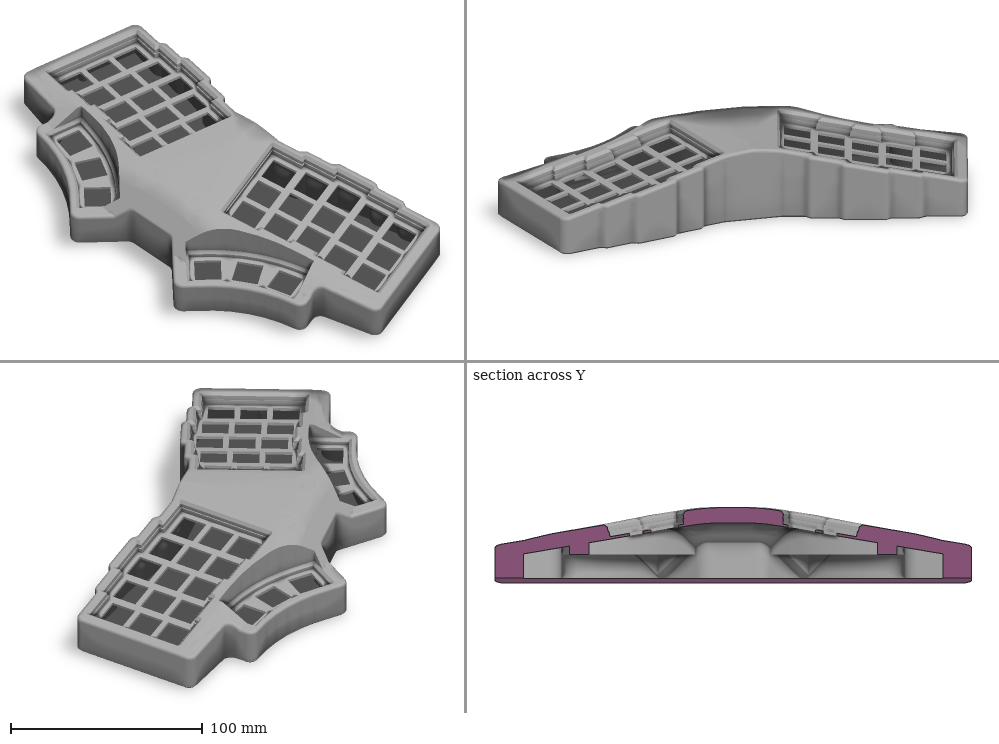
import cadquery as cq
import math

PEAK_Z = 39.5
RIM_Z = 19.8
PLATE_T = 2.5
PLATE_CHAMFER = 1.0

FIELD_ANGLE = 15.0
TILT = 10.0
FIELD_U = -68.5
FIELD_V = 1.3
KEY_HOLE = 14.0
COLUMN_PITCH = 18.0
ROW_PITCH = 17.0
ROWS = 3
STAGGER = 2.5
COLUMN_STEPS = [0, 1, 2, 1, 0]
MIDDLE_COLUMN = 2
KEY_MARGIN = 2.8
LEDGE_WIDTH = 0.5
LEDGE_HEIGHT = 2.8
RECESS_DEPTH = 6.5
RECESS_CHAMFER = 1.5
SWITCH_PLATE_T = 1.5

CREST_RADIUS = 90.0
CREST_START_U = -4.3
SLOPE_EDGE_Y = -28.2
SLOPE_ANGLE = 45.0
SLOPE_RADIUS = 20.5

SIDE_U = -122.0
BACK_V = 33.5
FRONT_V = -38.5
BACK_Y = 38.8
FRONT_Y = -42.4
STEP_OVERHANG = 5.5
CORNER_RADIUS = 4.5
INNER_CORNER_RADIUS = 5.0
STEP_RUN = 2.5
STEP_RADIUS = 3.0
EDGE_RADIUS = 1.8

THUMB_CENTER = (-95.9, -98.0)
THUMB_RADIUS = 80.0
THUMB_ANGLES = [15.0, 30.0, 45.0]
THUMB_FRONT_RADIUS = 65.2
THUMB_END = 18.3
THUMB_ARC_RUN = 6.0
THUMB_DEPTH = 3.5

PALM_TOP_V = -30.7
PALM_INNER_U = -76.8
PALM_INNER_TOE_V = -45.7

WALL = 4.0
BOSS_RADIUS = 2.5
BOSS_U = -116.7
BOSS_V = -3.3

FAR = 203.0
COS_FIELD = math.cos(math.radians(FIELD_ANGLE))
SIN_FIELD = math.sin(math.radians(FIELD_ANGLE))
COS_TILT = math.cos(math.radians(TILT))
SIN_TILT = math.sin(math.radians(TILT))
TAN_TILT = math.tan(math.radians(TILT))

CREST_END_U = CREST_START_U - CREST_RADIUS * SIN_TILT
CREST_END_Z = PEAK_Z - CREST_RADIUS * (1 - COS_TILT)
RECESS_MARGIN = KEY_HOLE / 2 + KEY_MARGIN
ROOF_DROP = (RECESS_DEPTH + SWITCH_PLATE_T) / COS_TILT
THUMB_FLOOR_Z = RIM_Z - THUMB_DEPTH
THUMB_ROOF_Z = THUMB_FLOOR_Z - SWITCH_PLATE_T


def field_to_plan(u, v):
    """Plan X, Y of a point given in u and v."""
    return (u * COS_FIELD + v * SIN_FIELD, v * COS_FIELD - u * SIN_FIELD)


def turned(body):
    """Turn a body built with X as u and Y as v into place on the left half."""
    return body.rotate((0, 0, 0), (0, 0, 1), -FIELD_ANGLE)


def tilted_z(u):
    """Height of the tilted surface of the key field."""
    return CREST_END_Z + (u - CREST_END_U) * TAN_TILT


def thumb_point(angle, radius, along=0.0):
    """Plan X, Y at a radius of the thumb arc, moved along the tangent there."""
    a = math.radians(angle)
    return (THUMB_CENTER[0] + radius * math.sin(a) + along * math.cos(a),
            THUMB_CENTER[1] + radius * math.cos(a) - along * math.sin(a))


def mirrored_x(points):
    return [(-x, y) for x, y in points]


def with_mirror(body):
    return body.union(body.mirror("YZ")).clean()


def column_u(index):
    return FIELD_U + (index - MIDDLE_COLUMN) * COLUMN_PITCH * COS_TILT


def back_steps():
    """Plan corners of the stepped back wall, from the bridge outwards."""
    overhang = KEY_HOLE / 2 * COS_TILT + STEP_OVERHANG
    corners = []
    for outer in range(len(COLUMN_STEPS) - 2, -1, -1):
        inner = outer + 1
        if COLUMN_STEPS[outer] > COLUMN_STEPS[inner]:
            step_u = column_u(outer) + overhang
        else:
            step_u = column_u(inner) - overhang
        for column, run in ((inner, STEP_RUN / 2), (outer, -STEP_RUN / 2)):
            corners.append(field_to_plan(step_u + run, BACK_V + COLUMN_STEPS[column] * STAGGER))
    return corners


def rounded_at(prism, corners, radius):
    """Round the upright edges of a prism at plan corners and their mirror images."""
    reach = 0.3
    for x, y in corners + mirrored_x(corners):
        box = cq.selectors.BoxSelector((x - reach, y - reach, -FAR), (x + reach, y + reach, FAR))
        prism = prism.edges("|Z").edges(box).fillet(radius)
    return prism


def make_outline_prism(bottom_z, top_z):
    first, middle, last = THUMB_ANGLES
    bridge_u = (BACK_V * COS_FIELD - BACK_Y) / SIN_FIELD
    steps = back_steps()
    sides = [field_to_plan(SIDE_U, BACK_V), field_to_plan(SIDE_U, FRONT_V)]
    thumb_corner = thumb_point(first, THUMB_FRONT_RADIUS, -THUMB_END)
    thumb_wall_u = thumb_corner[0] * COS_FIELD - thumb_corner[1] * SIN_FIELD
    notch = field_to_plan(thumb_wall_u, FRONT_V)
    thumb_tip = thumb_point(last, THUMB_FRONT_RADIUS, THUMB_END)
    bridge_corner = (thumb_tip[0] + (FRONT_Y - thumb_tip[1]) / math.tan(math.radians(last)), FRONT_Y)

    half = cq.Workplane("XY", origin=(0, 0, bottom_z)).moveTo(0, FRONT_Y).lineTo(0, BACK_Y)
    for point in [field_to_plan(bridge_u, BACK_V), *steps, *sides, notch, thumb_corner]:
        half = half.lineTo(*point)
    half = half.threePointArc(
        thumb_point(middle, THUMB_FRONT_RADIUS), thumb_point(last, THUMB_FRONT_RADIUS, THUMB_ARC_RUN)
    )
    half = half.lineTo(*thumb_tip).lineTo(*bridge_corner).close()

    prism = with_mirror(half.extrude(top_z - bottom_z))
    prism = rounded_at(prism, steps, STEP_RADIUS)
    prism = rounded_at(prism, [*sides, notch, thumb_corner], CORNER_RADIUS)
    return rounded_at(prism, [thumb_tip, bridge_corner], INNER_CORNER_RADIUS)


def make_hump():
    """Oversized body under the crest, the tilted surfaces and the front slope."""
    half_tilt = math.radians(TILT / 2)
    blend_mid = (CREST_START_U - CREST_RADIUS * math.sin(half_tilt),
                 PEAK_Z - CREST_RADIUS * (1 - math.cos(half_tilt)))
    section = (
        cq.Workplane("XZ", origin=(0, FAR, 0))
        .moveTo(FAR, 0)
        .lineTo(FAR, PEAK_Z)
        .lineTo(CREST_START_U, PEAK_Z)
        .threePointArc(blend_mid, (CREST_END_U, CREST_END_Z))
        .lineTo(-FAR, tilted_z(-FAR))
        .lineTo(-FAR, 0)
        .close()
    )
    field = turned(section.extrude(2 * FAR))

    slope_toe_y = SLOPE_EDGE_Y - PEAK_Z / math.tan(math.radians(SLOPE_ANGLE))
    left_half = (
        cq.Workplane("YZ")
        .polyline([(FAR / 2, 0), (FAR / 2, PEAK_Z), (SLOPE_EDGE_Y, PEAK_Z), (slope_toe_y, 0)])
        .close()
        .extrude(-FAR)
    )
    half = field.intersect(left_half)
    slope_edge = cq.selectors.NearestToPointSelector((CREST_START_U, SLOPE_EDGE_Y, PEAK_Z))
    return with_mirror(half.edges(slope_edge).fillet(SLOPE_RADIUS))


def make_palm_cut():
    """Everything above the palm slope of the left half; the slope rises towards the thumb."""
    outer_u = SIDE_U - CORNER_RADIUS
    inner_z = tilted_z(PALM_INNER_U)
    outer_z = tilted_z(outer_u)
    inner_fall = (inner_z - RIM_Z) / (PALM_TOP_V - PALM_INNER_TOE_V)
    wires = []
    for u, top_z, fall in ((outer_u, outer_z, 0), (PALM_INNER_U, inner_z, inner_fall)):
        toe_z = top_z - fall * (PALM_TOP_V + FAR / 2)
        points = [(PALM_TOP_V, top_z), (-FAR / 2, toe_z), (-FAR / 2, FAR), (PALM_TOP_V, FAR)]
        wires.append(cq.Wire.makePolygon([cq.Vector(u, v, z) for v, z in points], close=True))
    return turned(cq.Workplane(cq.Solid.makeLoft(wires, True)))


def in_field(body):
    """Place a body built on the switch plate, flat at Z = 0, into the left key field."""
    plate_z = tilted_z(FIELD_U) - RECESS_DEPTH / COS_TILT
    return turned(body.rotate((0, 0, 0), (0, 1, 0), -TILT).translate((FIELD_U, FIELD_V, plate_z)))


def column_center(index):
    return ((index - MIDDLE_COLUMN) * COLUMN_PITCH, COLUMN_STEPS[index] * STAGGER)


def make_field_recess():
    """Stepped recess above the switch plate, with a ledge in its wall and a flared rim."""
    rim_start = RECESS_DEPTH - RECESS_CHAMFER
    recess = cq.Workplane("XY")
    for index in range(len(COLUMN_STEPS)):
        center = column_center(index)
        width = 2 * RECESS_MARGIN
        length = width + (ROWS - 1) * ROW_PITCH
        lower = cq.Workplane("XY").center(*center).rect(width, length).extrude(LEDGE_HEIGHT)
        width += 2 * LEDGE_WIDTH
        length += 2 * LEDGE_WIDTH
        upper = cq.Workplane("XY", origin=(0, 0, LEDGE_HEIGHT)).center(*center).rect(width, length)
        flare = cq.Workplane("XY", origin=(0, 0, rim_start)).center(*center).rect(width, length)
        recess = recess.union(lower)
        recess = recess.union(upper.extrude(rim_start - LEDGE_HEIGHT))
        recess = recess.union(flare.extrude(2 * RECESS_CHAMFER, taper=-45))
    return in_field(recess)


def make_field_holes():
    holes = cq.Workplane("XY")
    for index in range(len(COLUMN_STEPS)):
        x, y = column_center(index)
        for row in range(ROWS):
            offset = (row - (ROWS - 1) / 2) * ROW_PITCH
            hole = cq.Workplane("XY").box(KEY_HOLE, KEY_HOLE, 4 * SWITCH_PLATE_T)
            holes = holes.union(hole.translate((x, y + offset, 0)))
    return in_field(holes)


def thumb_sector(inner, outer, end, bottom_z, top_z):
    """Band between two radii of the thumb arc, run on straight past both end keys."""
    first, middle, last = THUMB_ANGLES
    return (
        cq.Workplane("XY", origin=(0, 0, bottom_z))
        .moveTo(*thumb_point(first, inner, -end))
        .lineTo(*thumb_point(first, outer, -end))
        .lineTo(*thumb_point(first, outer))
        .threePointArc(thumb_point(middle, outer), thumb_point(last, outer))
        .lineTo(*thumb_point(last, outer, end))
        .lineTo(*thumb_point(last, inner, end))
        .lineTo(*thumb_point(last, inner))
        .threePointArc(thumb_point(middle, inner), thumb_point(first, inner))
        .close()
        .extrude(top_z - bottom_z)
    )


def make_thumb_clearance(margin, bottom_z):
    """Space over the thumb keys, open towards the front."""
    inner = THUMB_FRONT_RADIUS - 2 * WALL
    outer = THUMB_RADIUS + RECESS_MARGIN + margin
    return thumb_sector(inner, outer, RECESS_MARGIN + margin, bottom_z, FAR)


def make_thumb_recess():
    """Recess above the thumb switch plate, flared up to the rim."""
    inner = THUMB_RADIUS - RECESS_MARGIN
    outer = THUMB_RADIUS + RECESS_MARGIN
    recess = thumb_sector(inner, outer, RECESS_MARGIN, THUMB_FLOOR_Z, RIM_Z)
    grow = RECESS_CHAMFER
    flared = thumb_sector(inner - grow, outer + grow, RECESS_MARGIN + grow, RIM_Z - grow, RIM_Z + grow)
    flared = flared.faces("<Z").chamfer(grow)
    return recess.union(flared)


def make_thumb_holes():
    holes = cq.Workplane("XY")
    for angle in THUMB_ANGLES:
        hole = cq.Workplane("XY").box(KEY_HOLE, KEY_HOLE, 4 * SWITCH_PLATE_T)
        hole = hole.rotate((0, 0, 0), (0, 0, 1), -angle)
        holes = holes.union(hole.translate((*thumb_point(angle, THUMB_RADIUS), THUMB_FLOOR_Z)))
    return holes


def rounded_top(body):
    """Round the top edge of every outer wall."""
    edges = []
    for wall in body.faces().vals():
        box = wall.BoundingBox()
        if box.zmin < PLATE_T + EDGE_RADIUS and box.zlen > EDGE_RADIUS:
            edges += [edge for edge in wall.Edges() if edge.BoundingBox().zmin > RIM_Z - EDGE_RADIUS]
    return body.newObject(edges).fillet(EDGE_RADIUS)


def make_hollow():
    """Space under the switch plates, closed below by the cover plate."""
    prism = make_outline_prism(PLATE_T, PEAK_Z)
    inside = prism.faces("<Z").wires().toPending().offset2D(-WALL).extrude(PEAK_Z, combine=False)
    under_hump = make_hump().translate((0, 0, -ROOF_DROP)).intersect(inside)
    thumb_roof = make_thumb_clearance(WALL, THUMB_ROOF_Z)
    under_hump = under_hump.cut(thumb_roof).cut(thumb_roof.mirror("YZ"))
    thumb_space = thumb_sector(THUMB_RADIUS - RECESS_MARGIN, THUMB_RADIUS + RECESS_MARGIN,
                               RECESS_MARGIN, PLATE_T, THUMB_ROOF_Z).intersect(inside)
    hollow = under_hump.union(thumb_space).union(thumb_space.mirror("YZ"))
    boss = turned(cq.Workplane("XY").center(BOSS_U, BOSS_V).circle(BOSS_RADIUS).extrude(PEAK_Z))
    return hollow.cut(boss).cut(boss.mirror("YZ"))


def make_case():
    raised = make_outline_prism(PLATE_T, PEAK_Z + 2.5).intersect(make_hump())
    for cut in (make_palm_cut(), make_thumb_clearance(RECESS_CHAMFER, RIM_Z)):
        raised = raised.cut(cut).cut(cut.mirror("YZ"))
    body = raised.union(make_outline_prism(PLATE_T, RIM_Z)).clean()
    body = rounded_top(body)
    for cut in (make_thumb_recess(), make_field_recess()):
        body = body.cut(cut).cut(cut.mirror("YZ"))
    body = body.cut(make_hollow())
    for cut in (make_field_holes(), make_thumb_holes()):
        body = body.cut(cut).cut(cut.mirror("YZ"))
    return body


def make_cover_plate():
    return make_outline_prism(0, PLATE_T).faces("<Z").edges().chamfer(PLATE_CHAMFER)


case = make_case()
cover_plate = make_cover_plate()
result = cq.Compound.makeCompound([case.val(), cover_plate.val()])